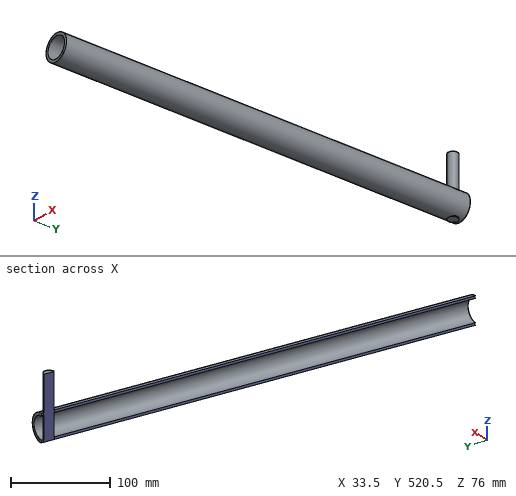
import cadquery as cq

TUBE_LENGTH = 520.5
TUBE_OUTER_DIAMETER = 33.5
TUBE_BORE_DIAMETER = 26.5

PIN_DIAMETER = 12.5
PIN_LENGTH = 76.0
PIN_END_DISTANCE = 9.5

pin_y = TUBE_LENGTH / 2 - PIN_END_DISTANCE
pin_bottom_z = -TUBE_OUTER_DIAMETER / 2


def make_pin():
    """Plain round pin standing along Z."""
    return (
        cq.Workplane("XY", origin=(0, pin_y, pin_bottom_z))
        .circle(PIN_DIAMETER / 2)
        .extrude(PIN_LENGTH)
    )


def make_tube(pin):
    """Open round tube with a matching cross hole for the pin."""
    tube = (
        cq.Workplane("XZ")
        .circle(TUBE_OUTER_DIAMETER / 2)
        .circle(TUBE_BORE_DIAMETER / 2)
        .extrude(TUBE_LENGTH / 2, both=True)
    )
    return tube.cut(pin)


pin = make_pin()
tube = make_tube(pin)

result = cq.Compound.makeCompound([tube.solids().val(), pin.val()])